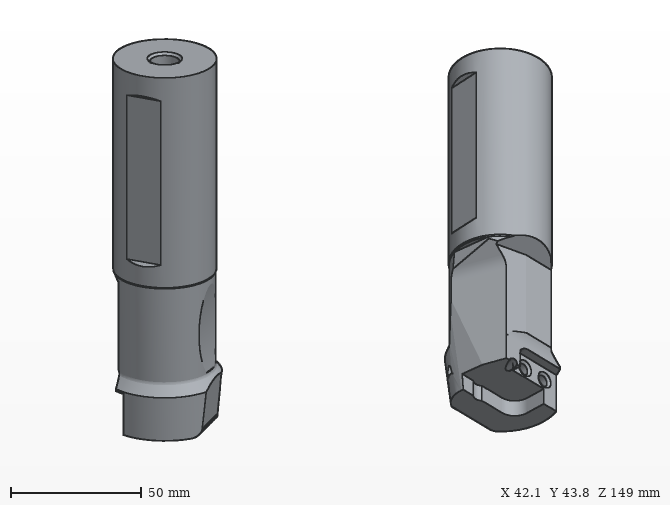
import cadquery as cq
import math

length = 149.0
far = 59.6

shank_radius = 20.0
shank_bottom = 61.4
shank_chamfer = 0.6
neck_radius = 19.7
head_radius = 23.8
head_cone_bottom = 17.9
head_cone_top = head_cone_bottom + head_radius - neck_radius
neck_fillet = 1.5

flat_offset = 18.6
flat_bottom = 71.4
flat_top = 139.3

bore_radius = 5.7
bore_mouth_radius = 6.7
bore_floor = 74.5
drill_point_angle = 118.0
coolant_radius = 2.0
centre_hole_bottom = 11.9
cross_hole_exit = (-13.4, 4.9, 6.5)
heel_hole_start = (2.0, 1.2, bore_floor)
heel_hole_exit = (12.7, 13.4, 11.9)

face_turn = 5.0
neck_face_x = -13.7
neck_back_turn = 7.5
neck_face_top = 59.6
neck_face_runout = 34.0
head_face_x = -12.5
head_face_top = 18.2
face_blend_top = 23.2

pocket_floor_x = -8.6
pocket_end_y = 2.1
pocket_top = 17.0
pocket_corner = 4.2
screw_ys = [-15.6, -4.8]
screw_z = 11.5
screw_radius = 2.4
screw_mouth_radius = 3.5
screw_depth = 11.9

step_top = 7.0
step_wall_x = 7.2
step_end_y = -15.2
step_corner = 6.7
groove_start_y = 2.7
groove_end_y = 7.6
groove_depth = 0.9

flute_angle = 23.0
flute_offset = 13.1
flute_top = 49.6
flute_runout_radius = 8.2
flute_runout_angle = 37.0

heel_level = 22.4
heel_face_x = 21.5
heel_radius = 10.9
heel_center_y = 4.5
heel_back_angle = 100.0
heel_lean_x = 0.06
heel_lean_y = 0.1
heel_bottom_round = 3.0

waist_x = 18.2
waist_z = 40.2
waist_half_height = 18.6


def turned(shape):
    """Turn a shape from the frame of the insert faces into place."""
    return shape.rotate((0, 0, 0), (0, 0, 1), face_turn)


def extrude_along_y(profile):
    """Extrude an XZ profile both ways past the body."""
    return profile.extrude(far, both=True)


def body():
    """Head, neck and shank turned about the tool axis."""
    profile = (
        cq.Workplane("XZ")
        .moveTo(0, 0)
        .lineTo(head_radius, 0)
        .lineTo(head_radius, head_cone_bottom)
        .lineTo(neck_radius, head_cone_top)
        .lineTo(neck_radius, shank_bottom)
        .lineTo(shank_radius, shank_bottom + shank_chamfer)
        .lineTo(shank_radius, length)
        .lineTo(0, length)
        .close()
    )
    solid = profile.revolve(360, (0, 0, 0), (0, 1, 0))
    neck_root = cq.selectors.NearestToPointSelector((neck_radius, 0, head_cone_top))
    return solid.edges("%CIRCLE").edges(neck_root).fillet(neck_fillet)


def clamping_flats():
    """Two opposite flats whose ends slope out at 45 degrees."""
    end_slope = 2 * (shank_radius - flat_offset)
    flat = (
        cq.Workplane("YZ")
        .moveTo(-flat_offset, flat_bottom)
        .lineTo(-flat_offset, flat_top)
        .lineTo(-flat_offset - end_slope, flat_top + end_slope)
        .lineTo(-flat_offset - end_slope, flat_bottom - end_slope)
        .close()
        .extrude(far, both=True)
    )
    return flat.union(flat.mirror("XZ"))


def bore():
    """Blind bore with a chamfered mouth and a drill-point bottom."""
    mouth = bore_mouth_radius - bore_radius
    point = bore_radius / math.tan(math.radians(drill_point_angle / 2))
    return (
        cq.Workplane("XZ")
        .moveTo(0, bore_floor - point)
        .lineTo(bore_radius, bore_floor)
        .lineTo(bore_radius, length - mouth)
        .lineTo(bore_mouth_radius, length)
        .lineTo(0, length)
        .close()
        .revolve(360, (0, 0, 0), (0, 1, 0))
    )


def coolant_hole(start_point, end_point):
    start = cq.Vector(*start_point)
    run = cq.Vector(*end_point) - start
    length_past_end = run.Length + coolant_radius
    return cq.Workplane(cq.Solid.makeCylinder(coolant_radius, length_past_end, start, run))


def coolant_holes():
    """A centre hole with a cross hole to the head face, and a slanted hole to the heel."""
    bottom = (0, 0, centre_hole_bottom)
    centre_hole = coolant_hole((0, 0, bore_floor), bottom)
    cross_hole = coolant_hole(bottom, cross_hole_exit)
    heel_hole = coolant_hole(heel_hole_start, heel_hole_exit)
    return centre_hole.union(cross_hole).union(heel_hole)


def neck_faces():
    """Two neck faces meeting at a ridge, ending in a sloped runout under the shank."""
    back_x = neck_face_x + far * math.tan(math.radians(neck_back_turn))
    slope = math.tan(math.radians(neck_face_runout))
    faces = (
        cq.Workplane("XY", origin=(0, 0, head_face_top))
        .moveTo(-far, -far)
        .lineTo(neck_face_x, -far)
        .lineTo(neck_face_x, 0)
        .lineTo(back_x, far)
        .lineTo(-far, far)
        .close()
        .extrude(far)
    )
    runout = extrude_along_y(
        cq.Workplane("XZ")
        .moveTo(-far, 0)
        .lineTo(0, 0)
        .lineTo(0, neck_face_top + slope * neck_face_x)
        .lineTo(-far, neck_face_top + slope * (neck_face_x + far))
        .close()
    )
    return turned(faces.intersect(runout))


def head_face():
    """Flat head face, blended by a concave arc into the neck face."""
    rise = face_blend_top - head_face_top
    step = head_face_x - neck_face_x
    radius = (rise**2 + step**2) / (2 * step)
    half_angle = math.asin(rise / radius) / 2
    middle = (
        head_face_x - radius * (1 - math.cos(half_angle)),
        head_face_top + radius * math.sin(half_angle),
    )
    profile = (
        cq.Workplane("XZ")
        .moveTo(-far, 0)
        .lineTo(head_face_x, 0)
        .lineTo(head_face_x, head_face_top)
        .threePointArc(middle, (neck_face_x, face_blend_top))
        .lineTo(-far, face_blend_top)
        .close()
    )
    return turned(extrude_along_y(profile))


def insert_pocket():
    """Open pocket with a rounded corner and two countersunk screw holes."""
    pocket = (
        cq.Workplane("XY")
        .box(far, far, pocket_top, centered=False)
        .translate((pocket_floor_x - far, pocket_end_y - far, 0))
        .edges("|X and >Y and >Z")
        .fillet(pocket_corner)
    )
    mouth = screw_mouth_radius - screw_radius
    screw_point = screw_radius / math.tan(math.radians(drill_point_angle / 2))
    for screw_y in screw_ys:
        screw_hole = (
            cq.Workplane("XY")
            .moveTo(0, 0)
            .lineTo(0, screw_mouth_radius)
            .lineTo(mouth, screw_radius)
            .lineTo(screw_depth, screw_radius)
            .lineTo(screw_depth + screw_point, 0)
            .close()
            .revolve(360, (0, 0, 0), (1, 0, 0))
            .translate((pocket_floor_x, screw_y, screw_z))
        )
        pocket = pocket.union(screw_hole)
    return turned(pocket)


def lower_step():
    """Deep step across the tip, with a round inner corner and a shallow groove in its wall."""
    corner_x = step_wall_x - step_corner
    corner_y = step_end_y + step_corner
    diagonal = step_corner * math.sqrt(0.5)
    step = (
        cq.Workplane("XY")
        .moveTo(-far, step_end_y)
        .lineTo(corner_x, step_end_y)
        .threePointArc((corner_x + diagonal, corner_y - diagonal), (step_wall_x, corner_y))
        .lineTo(step_wall_x, groove_start_y)
        .threePointArc(
            (step_wall_x + groove_depth, (groove_start_y + groove_end_y) / 2),
            (step_wall_x, groove_end_y),
        )
        .lineTo(step_wall_x, far)
        .lineTo(-far, far)
        .close()
        .extrude(step_top)
    )
    return turned(step)


def chip_flute():
    """Flat flute that runs out at its top along an arc and a slope."""
    half = math.radians(flute_runout_angle / 2)
    slope_rise = shank_radius / math.tan(2 * half)
    arc_middle = (
        flute_offset + flute_runout_radius * (1 - math.cos(half)),
        flute_top + flute_runout_radius * math.sin(half),
    )
    arc_end = (
        flute_offset + flute_runout_radius * (1 - math.cos(2 * half)),
        flute_top + flute_runout_radius * math.sin(2 * half),
    )
    flute = (
        cq.Workplane("YZ")
        .moveTo(flute_offset, 0)
        .lineTo(flute_offset, flute_top)
        .threePointArc(arc_middle, arc_end)
        .lineTo(arc_end[0] + shank_radius, arc_end[1] + slope_rise)
        .lineTo(arc_end[0] + shank_radius, 0)
        .close()
        .extrude(far, both=True)
    )
    below_shank = cq.Workplane("XY").box(2 * far, 2 * far, shank_bottom, centered=(True, True, False))
    return flute.intersect(below_shank).rotate((0, 0, 0), (0, 0, 1), flute_angle)


def heel_section(level):
    """Outline of the leaning heel at one height."""
    center_x = heel_face_x - heel_radius
    back = math.radians(heel_back_angle - face_turn)
    arc_end = (
        center_x + heel_radius * math.cos(back),
        heel_center_y + heel_radius * math.sin(back),
    )
    arc_middle = (
        center_x + heel_radius * math.cos(back / 2),
        heel_center_y + heel_radius * math.sin(back / 2),
    )
    section = (
        cq.Workplane("XY")
        .moveTo(-far, -far)
        .lineTo(heel_face_x, -far)
        .lineTo(heel_face_x, heel_center_y)
        .threePointArc(arc_middle, arc_end)
        .lineTo(arc_end[0] - far * math.sin(back), arc_end[1] + far * math.cos(back))
        .close()
    )
    rise = level - heel_level
    shift = (heel_lean_x * rise, heel_lean_y * rise, level)
    return turned(section.val()).translate(cq.Vector(*shift))


def heel_limit():
    """Everything inside the leaning heel, and everything above the neck."""
    lower = cq.Workplane(cq.Solid.makeLoft([heel_section(0), heel_section(shank_bottom)], True))
    above = (
        cq.Workplane("XY", origin=(0, 0, shank_bottom))
        .circle(far)
        .extrude(length)
    )
    return lower.union(above)


def heel_bottom_edge():
    """Sliver removed to round the bottom edge of the heel face."""
    edge_x = heel_face_x - heel_lean_x * heel_level
    center_x = edge_x - heel_bottom_round
    diagonal = heel_bottom_round * math.sqrt(0.5)
    profile = (
        cq.Workplane("XZ")
        .moveTo(center_x, 0)
        .threePointArc(
            (center_x + diagonal, heel_bottom_round - diagonal),
            (edge_x, heel_bottom_round),
        )
        .lineTo(far, heel_bottom_round)
        .lineTo(far, 0)
        .close()
    )
    return turned(extrude_along_y(profile))


def waist():
    """Shallow scoop along Y, kept within the height of the neck."""
    depth = neck_radius - waist_x
    radius = (waist_half_height**2 + depth**2) / (2 * depth)
    scoop = extrude_along_y(
        cq.Workplane("XZ", origin=(waist_x + radius, 0, waist_z)).circle(radius)
    )
    neck_height = shank_bottom - face_blend_top
    neck_zone = (
        cq.Workplane("XY", origin=(0, 0, face_blend_top))
        .rect(2 * far, 2 * far)
        .extrude(neck_height)
    )
    return scoop.intersect(neck_zone)


result = body().intersect(heel_limit())
cutters = [
    clamping_flats(),
    bore(),
    coolant_holes(),
    neck_faces(),
    head_face(),
    insert_pocket(),
    lower_step(),
    chip_flute(),
    heel_bottom_edge(),
    waist(),
]
for cutter in cutters:
    result = result.cut(cutter)